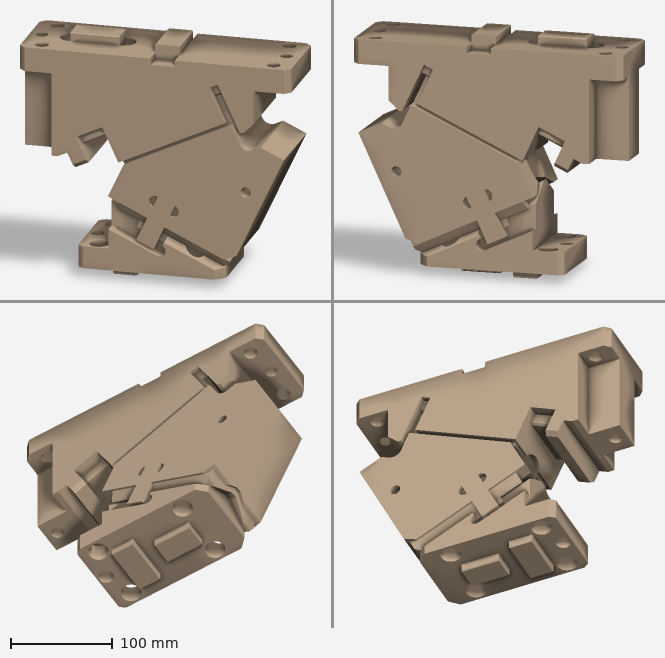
import cadquery as cq
import math

LENGTH = 277.0
WIDTH = 85.0
HALF = WIDTH / 2
TILT = 25.0
COS = math.cos(math.radians(TILT))
SIN = math.sin(math.radians(TILT))
FAR = 332.5

KEY_LENGTH = 50.0
KEY_WIDTH = 25.2
KEY_HEIGHT = 9.1
KEY_BEVEL = 0.8
BOLT_Y = 30.0

ROOF_TAN = math.tan(math.radians(30))
EAVE_Y = 30.0
EAVE_LEVEL = 100.8
RIDGE_FLAT = 3.3

UPPER_PLANE = 55.5
SPRING_RADIUS = 17.2
SPRING_LEVEL = 50.7
SPRING_START = 83.0
SPRING_END = 147.0


def down(along, level):
    """X, Z of a point given along and square to the slope that falls towards +X."""
    return along * COS + level * SIN, level * COS - along * SIN


def up(along, level):
    """X, Z of a point given along and square to the slope that climbs towards +X."""
    return along * COS - level * SIN, along * SIN + level * COS


def across(points, half_width=HALF):
    """Prism with the given X, Z outline, centred on the middle plane."""
    return cq.Workplane("XZ").polyline(points).close().extrude(half_width, both=True)


def sides(points, inner_y, outer_y=HALF):
    """The same prism on both sides, between two distances from the middle plane."""
    near = cq.Workplane("XZ").workplane(offset=inner_y).polyline(points).close().extrude(outer_y - inner_y)
    return near.union(near.mirror("XZ"))


def block(frame, start, end, bottom, top):
    """Corners of a rectangle in the `down` or `up` slope frame, which is passed in."""
    return [frame(start, bottom), frame(end, bottom), frame(end, top), frame(start, top)]


def along_slope(section, start, end):
    """Prism with a Y, level section, running down the falling slope."""
    prism = cq.Workplane("YZ").workplane(offset=start).polyline(section).close().extrude(end - start)
    return prism.rotate((0, 0, 0), (0, 1, 0), TILT)


def upright_holes(points, diameter, bottom, height):
    return cq.Workplane("XY").workplane(offset=bottom).pushPoints(points).circle(diameter / 2).extrude(height)


def key(x_size, y_size, center_x, bottom, top, outer_face, bevel_edges):
    """Locating key with its long outer edges bevelled."""
    body = cq.Workplane("XY").box(x_size, y_size, top - bottom, centered=(True, True, False))
    body = body.faces(outer_face).edges(bevel_edges).chamfer(KEY_BEVEL)
    return body.translate((center_x, 0, bottom))


def roof_level(y):
    """Level of the base guide at a distance from the middle plane."""
    return EAVE_LEVEL + (EAVE_Y - y) * ROOF_TAN


def mirrored(points):
    """Close a half section (y >= 0) by its mirror image."""
    return points + [(-y, level) for y, level in reversed(points)]


def spring_bore():
    """Bore between upper holder and slider, parallel to their sliding plane."""
    bore = cq.Workplane("YZ").workplane(offset=SPRING_START).center(0, SPRING_LEVEL)
    bore = bore.circle(SPRING_RADIUS).extrude(SPRING_END - SPRING_START)
    return bore.rotate((0, 0, 0), (0, 1, 0), -TILT)


BASE_LEFT = 59.8
BASE_RIGHT = 209.7
BASE_STEP_X = 91.7
BASE_FOOT_HEIGHT = 22.7
BASE_LEFT_CHAMFER = 5.8
BASE_LEFT_CHAMFER_Y = 4.5
BASE_RIGHT_CHAMFER = 9.5
BASE_BOLT_DIAMETER = 20.2
BASE_BOLT_X = (79.2, 177.5)
BASE_DOWEL_DIAMETER = 13.3
BASE_DOWEL_DEPTH = 2.2
BASE_RELIEF_DIAMETER = 15.0
BASE_DOWEL_X = 69.2
BASE_CROSS_KEY_X = 104.2
BASE_LONG_KEY_X = 153.7
BASE_LONG_KEY_LENGTH = 40.2

POCKET_FLOOR = 77.5
POCKET_END = 120.0
POCKET_RELIEF = 6.0


def base_plan():
    half_left = HALF - BASE_LEFT_CHAMFER_Y
    half_right = HALF - BASE_RIGHT_CHAMFER
    upper_half = [
        (BASE_LEFT, half_left),
        (BASE_LEFT + BASE_LEFT_CHAMFER, HALF),
        (BASE_RIGHT - BASE_RIGHT_CHAMFER, HALF),
        (BASE_RIGHT, half_right),
    ]
    return upper_half + [(x, -y) for x, y in reversed(upper_half)]


def hook_pockets():
    pockets = sides(block(down, -FAR, POCKET_END, POCKET_FLOOR, FAR), EAVE_Y)
    relief_x, relief_z = down(POCKET_END, POCKET_FLOOR + POCKET_RELIEF)
    relief = cq.Workplane("XZ").workplane(offset=EAVE_Y).center(relief_x, relief_z)
    relief = relief.circle(POCKET_RELIEF).extrude(HALF - EAVE_Y)
    return pockets.union(relief).union(relief.mirror("XZ"))


def make_base():
    body = cq.Workplane("XY").polyline(base_plan()).close().extrude(FAR)
    roof = [(HALF, -FAR), (HALF, roof_level(HALF)), (RIDGE_FLAT, roof_level(RIDGE_FLAT))]
    body = body.intersect(along_slope(mirrored(roof), -FAR, FAR))
    body = body.cut(hook_pockets())
    foot_clearance = [
        (0, BASE_FOOT_HEIGHT),
        (BASE_STEP_X, BASE_FOOT_HEIGHT),
        (BASE_STEP_X, FAR),
        (0, FAR),
    ]
    body = body.cut(across(foot_clearance))
    foot = cq.Workplane("XY").polyline(base_plan()).close().extrude(BASE_FOOT_HEIGHT)
    left_part = cq.Workplane("XY").box(BASE_STEP_X, WIDTH, FAR, centered=(False, True, False))
    body = body.union(foot.intersect(left_part))

    bolts = [(x, y) for x in BASE_BOLT_X for y in (-BOLT_Y, BOLT_Y)]
    body = body.cut(upright_holes(bolts, BASE_BOLT_DIAMETER, 0, FAR))
    dowel = [(BASE_DOWEL_X, 0)]
    body = body.cut(upright_holes(dowel, BASE_DOWEL_DIAMETER, 0, BASE_FOOT_HEIGHT))
    body = body.cut(upright_holes(dowel, BASE_RELIEF_DIAMETER, 0, BASE_FOOT_HEIGHT - BASE_DOWEL_DEPTH))

    cross_key = key(KEY_WIDTH, KEY_LENGTH, BASE_CROSS_KEY_X, -KEY_HEIGHT, 0, "<Z", "|Y")
    long_key = key(BASE_LONG_KEY_LENGTH, KEY_WIDTH, BASE_LONG_KEY_X, -KEY_HEIGHT, 0, "<Z", "|X")
    return body.union(cross_key).union(long_key)


SLIDER_LEFT = 50.0
SLIDER_RIGHT = 190.3
SLIDER_TOP = 233.0
SLIDER_BOTTOM = 108.3
SLIDER_CHAMFER = 10.0
SLIDER_STOP = 265.0
NOTCH_STEP = 164.0
NOTCH_RADIUS = 10.0
NOTCH_CORNER = 3

RAIL_START = 62.3
RAIL_END = 187.3
RAIL_EDGE_Y = 34.0
RAIL_SIDE_Y = 35.2
RAIL_OUTER_Y = 40.5
RAIL_SIDE_LEVEL = 99.5
RAIL_END_CHAMFER = 5.3
RAIL_TOP = 125.0
CLEARANCE_Y = 28.5

HOOK_START = 94.5
HOOK_END = 113.8
HOOK_BOTTOM = 82.3
HOOK_LIP_BOTTOM = 90.9
HOOK_LIP_SIDE = POCKET_END - HOOK_END
HOOK_LIP_Y = 34.3
HOOK_SLOT_LEVEL = 127.5
HOOK_SLOT_RADIUS = 6.5
HOOK_SLOT_DEPTH = 5.5

SIDE_HOLE_X = 231.8
SIDE_HOLE_Z = 94.0
SIDE_HOLE_DIAMETER = 10.5
SIDE_HOLE_DEPTH = 16.5
DRILL_SLOPE = 31.0


def slope_crossing(level_up, along_down):
    """Level, on the falling slope, where its cross line meets a level of the climbing slope."""
    angle_between = math.radians(2 * TILT)
    return (level_up + along_down * math.sin(angle_between)) / math.cos(angle_between)


def slider_outline():
    left_top = slope_crossing(UPPER_PLANE, SLIDER_LEFT)
    step_x, step_z = down(NOTCH_STEP, SLIDER_TOP)
    notch_along = step_x * COS + step_z * SIN
    notch_level = step_z * COS - step_x * SIN
    return [
        down(SLIDER_LEFT, SLIDER_BOTTOM),
        down(SLIDER_LEFT, left_top),
        up(SLIDER_STOP, UPPER_PLANE),
        up(SLIDER_STOP, notch_level),
        up(notch_along, notch_level),
        down(SLIDER_RIGHT, SLIDER_TOP),
        down(SLIDER_RIGHT, SLIDER_BOTTOM + SLIDER_CHAMFER),
        down(SLIDER_RIGHT - SLIDER_CHAMFER, SLIDER_BOTTOM),
    ]


def slider_body():
    outline = slider_outline()
    notch_x, notch_z = outline[NOTCH_CORNER]
    notch_edge = cq.selectors.NearestToPointSelector((notch_x, 0, notch_z))
    return across(outline).edges(notch_edge).fillet(NOTCH_RADIUS)


def clearance_groove():
    """Roof-shaped groove that keeps the slider clear of the guide outside its rails."""
    groove_top = SLIDER_BOTTOM + (CLEARANCE_Y - RIDGE_FLAT) * ROOF_TAN
    groove = [(CLEARANCE_Y, 0), (CLEARANCE_Y, SLIDER_BOTTOM), (RIDGE_FLAT, groove_top)]
    return along_slope(mirrored(groove), 0, FAR)


def slider_rails():
    half = [
        (RIDGE_FLAT, roof_level(RIDGE_FLAT)),
        (RAIL_EDGE_Y, roof_level(RAIL_EDGE_Y)),
        (RAIL_SIDE_Y, RAIL_SIDE_LEVEL),
        (RAIL_OUTER_Y, SLIDER_BOTTOM),
        (RAIL_SIDE_Y, RAIL_TOP),
    ]
    rails = along_slope(mirrored(half), RAIL_START, RAIL_END)
    lowest = roof_level(RAIL_EDGE_Y)
    lower_corner = [
        down(RAIL_END - RAIL_END_CHAMFER, lowest),
        down(RAIL_END, lowest),
        down(RAIL_END, lowest + RAIL_END_CHAMFER),
    ]
    return rails.cut(across(lower_corner))


def retaining_hooks():
    shank = sides(block(down, HOOK_START, HOOK_END, HOOK_BOTTOM, RAIL_TOP), EAVE_Y)
    lip_start = HOOK_START - HOOK_LIP_SIDE
    lip = sides(block(down, lip_start, POCKET_END, HOOK_LIP_BOTTOM, SLIDER_BOTTOM), EAVE_Y, HOOK_LIP_Y)
    return shank.union(lip)


def hook_slot_ends():
    """Half-round recesses at either edge of each hook."""
    centers = [down(along, HOOK_SLOT_LEVEL) for along in (HOOK_START, HOOK_END)]
    recess = cq.Workplane("XZ").workplane(offset=HALF - HOOK_SLOT_DEPTH).pushPoints(centers)
    recess = recess.circle(HOOK_SLOT_RADIUS).extrude(HOOK_SLOT_DEPTH)
    hook_band = block(down, HOOK_START, HOOK_END, 0, FAR)
    recess = recess.cut(sides(hook_band, 0))
    return recess.union(recess.mirror("XZ"))


def side_hole():
    """Blind hole with a drill-point bottom, in the -Y side."""
    radius = SIDE_HOLE_DIAMETER / 2
    point = radius * math.tan(math.radians(DRILL_SLOPE))
    half_section = [
        (0, HALF),
        (radius, HALF),
        (radius, HALF - SIDE_HOLE_DEPTH),
        (0, HALF - SIDE_HOLE_DEPTH - point),
    ]
    hole = cq.Workplane("XZ").polyline(half_section).close()
    hole = hole.revolve(360, (0, 0, 0), (0, 1, 0)).rotate((0, 0, 0), (1, 0, 0), 90)
    return hole.translate((SIDE_HOLE_X, 0, SIDE_HOLE_Z))


def make_slider():
    body = slider_body()
    body = body.cut(clearance_groove())
    body = body.union(slider_rails()).union(retaining_hooks())
    body = body.cut(hook_slot_ends()).cut(spring_bore())
    hole = side_hole()
    return body.cut(hole).cut(hole.mirror("XZ"))


TOP = 224.6
PLATE_BOTTOM = 200.0
PLATE_CHAMFER = 6.0
STEM_BOTTOM = 114.5
STEM_LENGTH = 33.5
STEM_HALF = 17.5
STEM_FOOT_X = 40.2
HEEL_X = 240.0
HEEL_SHOULDER = 165.5
HEEL_BOTTOM = 155.5
HEEL_TIP = 229.4

SIDE_PLANE = 59.5
SLOT_TOP = 98.5
CORE_SLOT_TOP = 86.7
CORE_CHAMFER = 2.0
LEFT_CORE_HALF = 30.5
CORE_HALF = 36.0
TOE_LEFT = 95.3
TOE_RIGHT = 110.2
TOE_ROOT = 86.7
TOE_BOTTOM = 69.2
TOE_CHAMFER = 4.5
LEFT_SLOT_END = 140.2
RIGHT_SLOT_START = 260.0
RIGHT_SLOT_END = 270.4
PAD_START = 143.0
WALL_PAD_BOTTOM = 68.7
WALL_PAD_HALF = 35.0

TOP_BOLT_DIAMETER = 13.5
TOP_BOLT_X = (20.5, 257.0)
TOP_DOWEL_DIAMETER = 12.5
TOP_DOWEL_X = (12.5, 262.0)
KEY_SLOT_DEPTH = 6.6
LONG_KEY_X = 69.8
LONG_SLOT_LENGTH = 77.3
CROSS_KEY_X = 147.0


def upper_outline():
    heel_left = (RIGHT_SLOT_END - HEEL_BOTTOM * SIN) / COS
    return [
        (0, TOP),
        (0, STEM_BOTTOM),
        (STEM_FOOT_X, STEM_BOTTOM),
        up(TOE_LEFT, TOE_ROOT),
        up(TOE_LEFT, TOE_BOTTOM),
        up(TOE_RIGHT, TOE_BOTTOM),
        up(TOE_RIGHT, CORE_SLOT_TOP),
        up(LEFT_SLOT_END, CORE_SLOT_TOP),
        up(LEFT_SLOT_END, SIDE_PLANE),
        up(RIGHT_SLOT_START, SIDE_PLANE),
        up(RIGHT_SLOT_START, CORE_SLOT_TOP),
        up(RIGHT_SLOT_END, CORE_SLOT_TOP),
        (heel_left, HEEL_BOTTOM),
        (HEEL_TIP, HEEL_BOTTOM),
        (HEEL_X, HEEL_SHOULDER),
        (HEEL_X, PLATE_BOTTOM),
        (LENGTH, PLATE_BOTTOM),
        (LENGTH, TOP),
    ]


def edge_bevels(start, end, y, level, size):
    """Cutter for 45 degree bevels on two lower edges that run along the climbing slope."""
    corner = [(-y + size, level), (-y, level), (-y, level + size)]
    wedge = cq.Workplane("YZ").workplane(offset=start).polyline(corner).close().extrude(end - start)
    wedge = wedge.rotate((0, 0, 0), (0, 1, 0), -TILT)
    return wedge.union(wedge.mirror("XZ"))


def upper_blank():
    """Outlined block with chamfered plate corners and a slim stem at the left end."""
    body = across(upper_outline())
    plan = cq.Workplane("XY").rect(LENGTH, WIDTH).extrude(FAR).edges("|Z").chamfer(PLATE_CHAMFER)
    plan = plan.translate((LENGTH / 2, 0, 0))
    below = cq.Workplane("XY").box(HEEL_X, WIDTH, PLATE_BOTTOM, centered=(False, True, False))
    body = body.intersect(plan.union(below))
    stem_sides = [(0, 0), (STEM_LENGTH, 0), (STEM_LENGTH, PLATE_BOTTOM), (0, PLATE_BOTTOM)]
    return body.cut(sides(stem_sides, STEM_HALF))


def deepen_side_slots(body):
    """Cut both slots higher at the sides than at the bevelled core between them."""
    slots = ((TOE_RIGHT, LEFT_SLOT_END, LEFT_CORE_HALF), (RIGHT_SLOT_START, RIGHT_SLOT_END, CORE_HALF))
    for start, end, core_half in slots:
        body = body.cut(sides(block(up, start, end, CORE_SLOT_TOP, SLOT_TOP), core_half))
        body = body.cut(edge_bevels(start, end, core_half, CORE_SLOT_TOP, CORE_CHAMFER))
    return body


def sliding_pads():
    """Pad on the underside and, in two widths, on the wall of the right slot."""
    floor_pad = across(block(up, PAD_START, SLIDER_STOP, UPPER_PLANE, SIDE_PLANE), CORE_HALF)
    corner = across(block(up, RIGHT_SLOT_START, SLIDER_STOP, SIDE_PLANE, WALL_PAD_BOTTOM), CORE_HALF)
    wall_pad = across(block(up, RIGHT_SLOT_START, SLIDER_STOP, WALL_PAD_BOTTOM, CORE_SLOT_TOP), WALL_PAD_HALF)
    return floor_pad.union(corner).union(wall_pad)


def drill_plate(body):
    bolts = [(x, y) for x in TOP_BOLT_X for y in (-BOLT_Y, BOLT_Y)]
    dowels = [(x, 0) for x in TOP_DOWEL_X]
    body = body.cut(upright_holes(bolts, TOP_BOLT_DIAMETER, PLATE_BOTTOM, FAR))
    return body.cut(upright_holes(dowels, TOP_DOWEL_DIAMETER, 0, FAR))


def add_top_keys(body):
    """Two key slots in the top face, each with its key."""
    floor = TOP - KEY_SLOT_DEPTH
    long_slot = cq.Workplane("XY").workplane(offset=floor).center(LONG_KEY_X, 0)
    body = body.cut(long_slot.slot2D(LONG_SLOT_LENGTH, KEY_WIDTH).extrude(KEY_SLOT_DEPTH))
    cross_slot = cq.Workplane("XY").workplane(offset=floor).center(CROSS_KEY_X, 0)
    body = body.cut(cross_slot.rect(KEY_WIDTH, WIDTH).extrude(KEY_SLOT_DEPTH))
    long_key = key(KEY_LENGTH, KEY_WIDTH, LONG_KEY_X, floor, TOP + KEY_HEIGHT, ">Z", "|X")
    cross_key = key(KEY_WIDTH, KEY_LENGTH, CROSS_KEY_X, floor, TOP + KEY_HEIGHT, ">Z", "|Y")
    return body.union(long_key).union(cross_key)


def make_upper():
    body = deepen_side_slots(upper_blank())
    body = body.union(sliding_pads())
    body = body.cut(edge_bevels(TOE_LEFT, TOE_RIGHT, HALF, TOE_BOTTOM, TOE_CHAMFER))
    body = body.cut(spring_bore())
    return add_top_keys(drill_plate(body))


base = make_base()
slider = make_slider()
upper = make_upper()
result = cq.Compound.makeCompound([body.solids().val() for body in (base, slider, upper)])